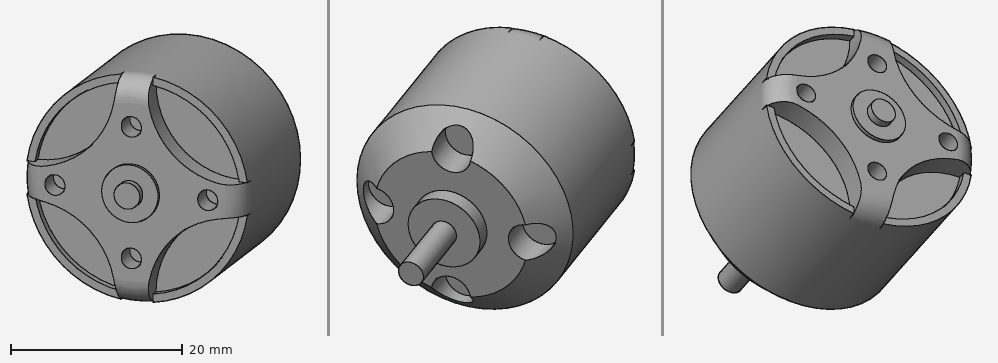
import cadquery as cq
import math


can_radius = 13.85
cone_height = 4.0
rim_radius = can_radius - cone_height
can_wall = 1.0
can_front = 2.0
can_rear = 24.0
bore_radius = can_radius - can_wall
bore_depth = 1.0

spider_thickness = can_front + bore_depth
arm_width = 4.0
arm_fillet = spider_thickness
scallop_center = 12.7
scallop_radius = scallop_center - arm_width / 2

mount_hole_diameter = 2.5
mount_offset_x = 9.5
mount_offset_z = 8.0

vent_diameter = 5.0
vent_offset = rim_radius
vent_depth = cone_height

shaft_diameter = 3.2
shaft_front = -1.5
shaft_rear = 35.5
boss_diameter = 7.0
boss_height = 0.5
collar_diameter = 9.2
collar_height = 2.0


def plane_at(y):
    """Plane across the motor axis at y: local x is X, local y is Z, normal is -Y."""
    return cq.Workplane("XZ", origin=(0, y, 0))


def rod(diameter, y_start, y_end, x=0, z=0):
    """Cylinder along Y, centred at x, z."""
    return plane_at(y_end).center(x, z).circle(diameter / 2).extrude(y_end - y_start)


def make_can():
    """Solid can with a tapered rear end and a shallow bore in its front."""
    cone_start = can_rear - cone_height
    profile = [
        (0, can_front),
        (can_radius, can_front),
        (can_radius, cone_start),
        (rim_radius, can_rear),
        (0, can_rear),
    ]
    can = cq.Workplane("XY").polyline(profile).close().revolve(360, (0, 0, 0), (0, 1, 0))
    return can.cut(rod(2 * bore_radius, can_front, spider_thickness))


def arm_bars():
    """Two crossing bars that cover the four arms."""
    bar_length = 2 * (can_radius + can_wall)
    bars = plane_at(spider_thickness).rect(bar_length, arm_width).extrude(spider_thickness)
    return bars.union(plane_at(spider_thickness).rect(arm_width, bar_length).extrude(spider_thickness))


def make_spider():
    """Four-armed plate: a square core with scalloped corners, and rounded arm ends."""
    core_side = 2 * scallop_center
    core = plane_at(spider_thickness).rect(core_side, core_side).extrude(spider_thickness)
    for sign_x in (-1, 1):
        for sign_z in (-1, 1):
            scallop = rod(
                2 * scallop_radius, 0, spider_thickness, sign_x * scallop_center, sign_z * scallop_center
            )
            core = core.cut(scallop)

    flat_radius = can_radius - arm_fillet
    arc_offset = arm_fillet * math.sqrt(0.5)
    disc = (
        cq.Workplane("XY")
        .moveTo(0, 0)
        .lineTo(flat_radius, 0)
        .threePointArc(
            (flat_radius + arc_offset, arm_fillet - arc_offset),
            (can_radius, arm_fillet),
        )
        .lineTo(0, spider_thickness)
        .close()
        .revolve(360, (0, 0, 0), (0, 1, 0))
    )
    return core.union(arm_bars()).intersect(disc)


def mount_holes():
    """Four blind holes as deep as the spider."""
    positions = [(mount_offset_x, 0), (-mount_offset_x, 0), (0, mount_offset_z), (0, -mount_offset_z)]
    return (
        plane_at(spider_thickness)
        .pushPoints(positions)
        .circle(mount_hole_diameter / 2)
        .extrude(spider_thickness)
    )


def vent_holes():
    """Four blind holes in the rear face, centred on its rim."""
    return (
        plane_at(can_rear)
        .polarArray(vent_offset, 0, 360, 4)
        .circle(vent_diameter / 2)
        .extrude(vent_depth)
    )


body = make_can().cut(arm_bars()).union(make_spider())
body = body.cut(mount_holes()).cut(vent_holes())

boss = rod(boss_diameter, -boss_height, spider_thickness)
collar = rod(collar_diameter, can_rear, can_rear + collar_height)
shaft = rod(shaft_diameter, shaft_front, shaft_rear)

result = body.union(boss).union(collar).union(shaft)